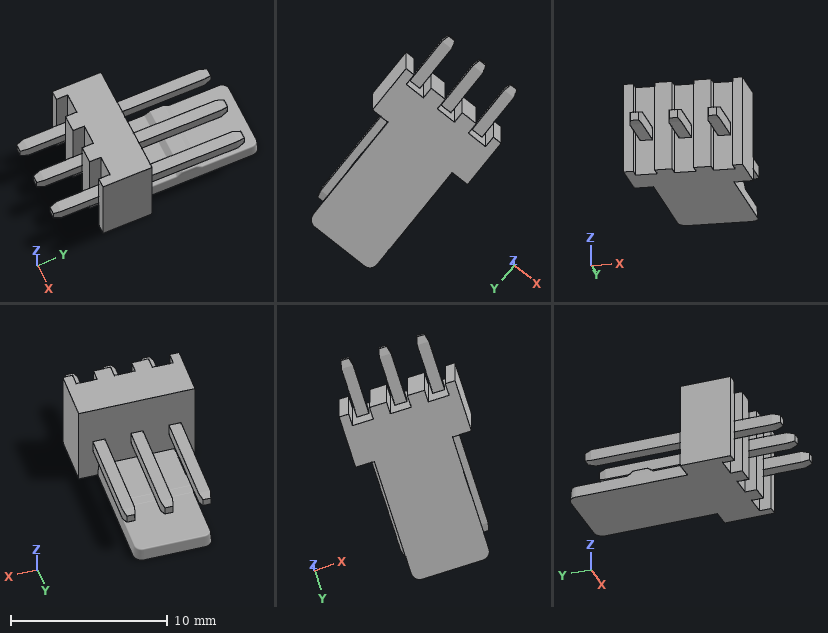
import cadquery as cq
import math


BODY_WIDTH = 7.8
BODY_HEIGHT = 5.9
BODY_FRONT = 3.0
BODY_BACK = 6.47
GROOVE_DEPTH = 0.8
GROOVE_WIDTH = 1.4

PIN_COUNT = 3
PIN_PITCH = 2.55
PIN_SIZE = 0.81
PIN_TIP_SIZE = 0.55
PIN_TIP_LENGTH = 0.52
PIN_LENGTH = 13.46
PIN_HEIGHT = 2.71

LEDGE_END = 14.73
LEDGE_WIDTH = 5.26
LEDGE_THICKNESS = 0.9
LEDGE_DRAFT_ANGLE = 5.0
LEDGE_CORNER_RADIUS = 0.59
LEDGE_EMBED = 1.47
LEDGE_START = BODY_BACK - LEDGE_EMBED

RIDGE_CENTER = 9.75
RIDGE_BASE_LENGTH = 1.8
RIDGE_TOP_LENGTH = 1.0
RIDGE_HEIGHT = 0.3

EDGE_RADIUS = 0.1


def pin_positions():
    """X positions of the pins and their grooves, centred on X = 0."""
    return [(i - (PIN_COUNT - 1) / 2) * PIN_PITCH for i in range(PIN_COUNT)]


def make_housing():
    depth = BODY_BACK - BODY_FRONT
    housing = cq.Workplane("XY").box(BODY_WIDTH, depth, BODY_HEIGHT, centered=(True, False, False))
    groove = cq.Workplane("XY").box(GROOVE_WIDTH, GROOVE_DEPTH, BODY_HEIGHT, centered=(True, False, False))
    for x in pin_positions():
        housing = housing.cut(groove.translate((x, 0, 0)))
    return housing.translate((0, BODY_FRONT, 0))


def make_tip(y_base, y_end):
    """Square frustum narrowing from the pin section at y_base to the tip at y_end."""
    return (
        cq.Workplane("XZ", origin=(0, y_base, 0))
        .rect(PIN_SIZE, PIN_SIZE)
        .workplane(offset=y_base - y_end)
        .rect(PIN_TIP_SIZE, PIN_TIP_SIZE)
        .loft(ruled=True)
    )


def make_pin():
    shank_start = PIN_TIP_LENGTH
    shank_end = PIN_LENGTH - PIN_TIP_LENGTH
    shank = cq.Workplane("XY").box(PIN_SIZE, shank_end - shank_start, PIN_SIZE, centered=(True, False, True))
    pin = shank.translate((0, shank_start, 0))
    pin = pin.union(make_tip(shank_start, 0))
    return pin.union(make_tip(shank_end, PIN_LENGTH))


def make_ledge():
    length = LEDGE_END - LEDGE_START
    draft_inset = LEDGE_THICKNESS * math.tan(math.radians(LEDGE_DRAFT_ANGLE))
    top_width = LEDGE_WIDTH - 2 * draft_inset

    plate = (
        cq.Workplane("XY")
        .center(0, LEDGE_START + length / 2)
        .sketch()
        .rect(LEDGE_WIDTH, length)
        .vertices()
        .fillet(LEDGE_CORNER_RADIUS)
        .finalize()
        .extrude(LEDGE_THICKNESS, taper=LEDGE_DRAFT_ANGLE)
    )
    ridge = (
        cq.Workplane("YZ", origin=(0, RIDGE_CENTER, LEDGE_THICKNESS))
        .polyline([
            (-RIDGE_BASE_LENGTH / 2, 0),
            (RIDGE_BASE_LENGTH / 2, 0),
            (RIDGE_TOP_LENGTH / 2, RIDGE_HEIGHT),
            (-RIDGE_TOP_LENGTH / 2, RIDGE_HEIGHT),
        ])
        .close()
        .extrude(top_width / 2, both=True)
    )
    ledge = plate.union(ridge)

    half_ridge = RIDGE_TOP_LENGTH / 2
    margin = RIDGE_HEIGHT / 4
    ridge_top = LEDGE_THICKNESS + RIDGE_HEIGHT
    upper_edges = cq.selectors.BoxSelector(
        (-LEDGE_WIDTH, 0, LEDGE_THICKNESS - margin),
        (LEDGE_WIDTH, LEDGE_END, ridge_top + margin),
    )
    seams = cq.selectors.BoxSelector(
        (-LEDGE_WIDTH, RIDGE_CENTER - half_ridge, 0),
        (LEDGE_WIDTH, RIDGE_CENTER + half_ridge, LEDGE_THICKNESS + margin),
    )
    return ledge.edges(upper_edges - seams).fillet(EDGE_RADIUS)


result = make_housing().union(make_ledge())
for pin_x in pin_positions():
    result = result.union(make_pin().translate((pin_x, 0, PIN_HEIGHT)))